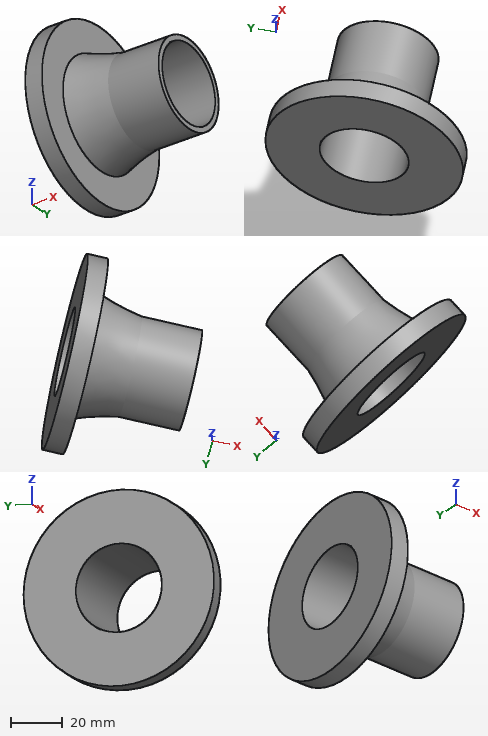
import cadquery as cq

flange_diameter = 78.0
flange_thickness = 8.0
hub_base_diameter = 50.0
hub_end = 26.0
pipe_diameter = 40.0
bore_diameter = 35.2
total_length = 50.0
flare_sag = 0.5

flange_radius = flange_diameter / 2
hub_base_radius = hub_base_diameter / 2
pipe_radius = pipe_diameter / 2
bore_radius = bore_diameter / 2

half_section = (
    cq.Workplane("XY")
    .moveTo(0, bore_radius)
    .lineTo(0, flange_radius)
    .lineTo(flange_thickness, flange_radius)
    .lineTo(flange_thickness, hub_base_radius)
    .sagittaArc((hub_end, pipe_radius), -flare_sag)
    .lineTo(total_length, pipe_radius)
    .lineTo(total_length, bore_radius)
    .close()
)

result = half_section.revolve(360, (0, 0, 0), (1, 0, 0))